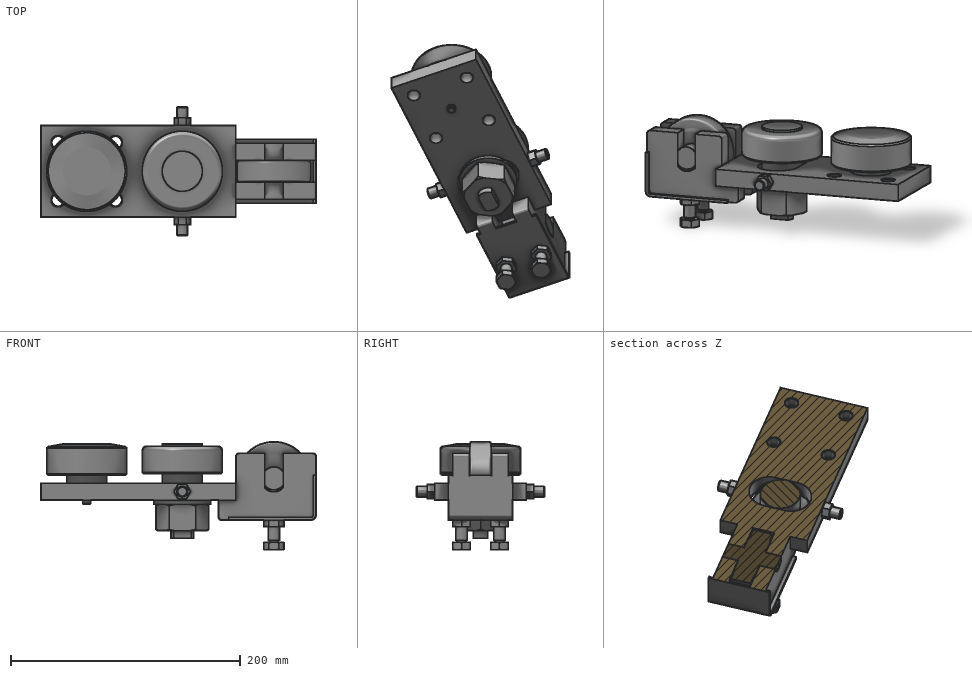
import cadquery as cq
import math


PLATE_LENGTH = 170.0
PLATE_WIDTH = 80.0
PLATE_THICKNESS = 15.0
MOUNT_HOLE_DIAMETER = 11.0
MOUNT_HOLE_CHAMFER = 0.6
MOUNT_HOLE_SPACING = 50.0

FIXED_ROLLER_X = 40.0
ROLLER_RADIUS = 35.0
HUB_RADIUS = 17.5
ROLLER_CHAMFER = 1.5
ROLLER_TOP_Z = 49.0
FIXED_ROLLER_BOTTOM_Z = 21.7
FIXED_ROLLER_SHOULDER_Z = 46.8
FIXED_ROLLER_FLAT_RADIUS = 21.0
TAIL_RADIUS = 3.6
TAIL_LENGTH = 3.6
TAIL_CHAMFER = 1.0

ADJUSTABLE_ROLLER_X = 123.3
ADJUSTABLE_ROLLER_BOTTOM_Z = 23.0
ADJUSTABLE_ROLLER_FACE_Z = 47.2
ADJUSTABLE_ROLLER_ROUND = 4.4
SLIDE_SLOT_LENGTH = 55.0
WASHER_RADIUS = 25.0
WASHER_THICKNESS = 3.6
BIG_NUT_FLATS = 40.0
BIG_NUT_HEIGHT = 23.0
BIG_NUT_CHAMFER_HEIGHT = 1.2
STUD_RADIUS = 10.0
STUD_FLATS = 13.0
STUD_END_LENGTH = 6.6

SIDE_SCREW_RADIUS = 4.7
SIDE_SCREW_CHAMFER = 0.7
SIDE_SCREW_END_Y = 56.0
SIDE_NUT_FLATS = 12.5
SIDE_NUT_HEIGHT = 6.5

FORK_END_X = 240.0
FORK_HEEL_X = 154.7
FORK_TOP_Z = 41.0
FORK_BOTTOM_Z = -17.4
CHEEK_INNER_Y = 9.6
CHEEK_OUTER_Y = 24.4
CHEEK_ROUND = 3.2
STRIP_WIDTH = 56.0
STRIP_THICKNESS = 2.4
STRIP_BEND_RADIUS = 5.0
STRIP_START_X = 164.0
STRIP_TOP_Z = 21.7

CROSS_ROLLER_X = 203.1
CROSS_ROLLER_Z = 19.0
CROSS_ROLLER_RADIUS = 32.0
CROSS_ROLLER_WIDTH = 18.4
CROSS_ROLLER_ROUND = 1.8
CROSS_HUB_BASE_RADIUS = 23.6
CROSS_HUB_FACE_RADIUS = 20.6
AXLE_RADIUS = 10.0
AXLE_FLATS = 16.0
AXLE_SLOT_BOTTOM_Z = 7.2

BOLT_Y = 16.5
BOLT_RADIUS = 5.1
BOLT_NECK_RADIUS = 4.0
BOLT_NECK_LENGTH = 1.5
BOLT_END_Z = -43.2
BOLT_HEAD_HEIGHT = 6.6
BOLT_HEAD_CHAMFER_HEIGHT = 0.5
BOLT_HEX_FLATS = 15.5
BOLT_NUT_HEIGHT = 5.6


def hexagon(flats, height):
    """Hexagonal prism with two corners on the X axis, standing on the XY plane."""
    corner_diameter = flats * 2 / math.sqrt(3)
    return cq.Workplane("XY").polygon(6, corner_diameter).extrude(height)


def chamfered_hexagon(flats, height, chamfer_height):
    """Hexagonal prism whose corners are turned off at both ends by a 30 degree cone."""
    corner_radius = flats / math.sqrt(3)
    end_radius = corner_radius - chamfer_height * math.sqrt(3)
    envelope = (
        cq.Workplane("XZ")
        .moveTo(0, 0)
        .lineTo(end_radius, 0)
        .lineTo(corner_radius, chamfer_height)
        .lineTo(corner_radius, height - chamfer_height)
        .lineTo(end_radius, height)
        .lineTo(0, height)
        .close()
        .revolve(360, (0, 0), (0, 1))
    )
    return hexagon(flats, height).intersect(envelope)


def cylinder(radius, z_start, z_end):
    return cq.Workplane("XY").workplane(offset=z_start).circle(radius).extrude(z_end - z_start)


def slide_slot():
    """Slot across the plate in which the stem of the adjustable roller slides."""
    return (
        cq.Workplane("XY")
        .center(ADJUSTABLE_ROLLER_X, 0)
        .slot2D(SLIDE_SLOT_LENGTH, 2 * HUB_RADIUS, 90)
        .extrude(PLATE_THICKNESS)
    )


def plate():
    body = cq.Workplane("XY").box(
        PLATE_LENGTH, PLATE_WIDTH, PLATE_THICKNESS, centered=(False, True, False)
    )
    body = (
        body.faces(">Z")
        .workplane(origin=(FIXED_ROLLER_X, 0, PLATE_THICKNESS))
        .rect(MOUNT_HOLE_SPACING, MOUNT_HOLE_SPACING, forConstruction=True)
        .vertices()
        .cskHole(MOUNT_HOLE_DIAMETER, MOUNT_HOLE_DIAMETER + 2 * MOUNT_HOLE_CHAMFER, 90)
    )
    return body.cut(slide_slot())


def fixed_roller():
    """Roller with a slightly conical top, its hub, and the pin tail below the plate."""
    rim_radius = ROLLER_RADIUS - ROLLER_CHAMFER
    roller = (
        cq.Workplane("XZ")
        .moveTo(0, FIXED_ROLLER_BOTTOM_Z)
        .lineTo(rim_radius, FIXED_ROLLER_BOTTOM_Z)
        .lineTo(ROLLER_RADIUS, FIXED_ROLLER_BOTTOM_Z + ROLLER_CHAMFER)
        .lineTo(ROLLER_RADIUS, FIXED_ROLLER_SHOULDER_Z - ROLLER_CHAMFER)
        .lineTo(rim_radius, FIXED_ROLLER_SHOULDER_Z)
        .lineTo(FIXED_ROLLER_FLAT_RADIUS, ROLLER_TOP_Z)
        .lineTo(0, ROLLER_TOP_Z)
        .close()
        .revolve(360, (0, 0), (0, 1))
    )
    hub = cylinder(HUB_RADIUS, PLATE_THICKNESS, FIXED_ROLLER_BOTTOM_Z)
    tail = cylinder(TAIL_RADIUS, -TAIL_LENGTH, 0).faces("<Z").chamfer(TAIL_CHAMFER)
    return roller.union(hub).union(tail).translate((FIXED_ROLLER_X, 0, 0))


def side_screw(side):
    """Adjusting screw with its lock nut on one long edge of the plate; side is +1 or -1."""
    edge_y = PLATE_WIDTH / 2
    screw = cylinder(SIDE_SCREW_RADIUS, 0, SIDE_SCREW_END_Y - edge_y)
    screw = screw.faces(">Z").chamfer(SIDE_SCREW_CHAMFER)
    screw = screw.union(hexagon(SIDE_NUT_FLATS, SIDE_NUT_HEIGHT))
    screw = screw.rotate((0, 0, 0), (1, 0, 0), -90 * side)
    return screw.translate((ADJUSTABLE_ROLLER_X, side * edge_y, PLATE_THICKNESS / 2))


def cheek(side):
    """One fork cheek, stepped under the plate end; its slot has a bottom rounded like the axle."""
    thickness = CHEEK_OUTER_Y - CHEEK_INNER_Y
    middle_y = side * (CHEEK_INNER_Y + CHEEK_OUTER_Y) / 2
    outline = (
        cq.Workplane("XZ", origin=(0, middle_y, 0))
        .moveTo(FORK_HEEL_X, FORK_BOTTOM_Z)
        .lineTo(FORK_END_X, FORK_BOTTOM_Z)
        .lineTo(FORK_END_X, FORK_TOP_Z)
        .lineTo(PLATE_LENGTH, FORK_TOP_Z)
        .lineTo(PLATE_LENGTH, 0)
        .lineTo(FORK_HEEL_X, 0)
        .close()
        .extrude(thickness / 2, both=True)
    )
    outline = outline.edges("|Y").edges(">Z").fillet(CHEEK_ROUND)
    outline = outline.edges("|Y").edges("<Z").edges("<X").fillet(CHEEK_ROUND)
    outline = outline.edges("|Y").edges("<Z").edges(">X").fillet(STRIP_BEND_RADIUS)
    half_slot = AXLE_FLATS / 2
    side_end_z = AXLE_SLOT_BOTTOM_Z + AXLE_RADIUS - math.sqrt(AXLE_RADIUS**2 - half_slot**2)
    slot = (
        cq.Workplane("XZ", origin=(CROSS_ROLLER_X, middle_y, 0))
        .moveTo(-half_slot, FORK_TOP_Z)
        .lineTo(-half_slot, side_end_z)
        .threePointArc((0, AXLE_SLOT_BOTTOM_Z), (half_slot, side_end_z))
        .lineTo(half_slot, FORK_TOP_Z)
        .close()
        .extrude(thickness / 2, both=True)
    )
    return outline.cut(slot)


def bent_strip():
    """Angle strip joining the cheeks along their bottom and their far end."""
    strip = (
        cq.Workplane("XZ")
        .moveTo(STRIP_START_X, FORK_BOTTOM_Z)
        .lineTo(FORK_END_X, FORK_BOTTOM_Z)
        .lineTo(FORK_END_X, STRIP_TOP_Z)
        .lineTo(FORK_END_X - STRIP_THICKNESS, STRIP_TOP_Z)
        .lineTo(FORK_END_X - STRIP_THICKNESS, FORK_BOTTOM_Z + STRIP_THICKNESS)
        .lineTo(STRIP_START_X, FORK_BOTTOM_Z + STRIP_THICKNESS)
        .close()
        .extrude(STRIP_WIDTH / 2, both=True)
    )
    strip = strip.edges("|Y").edges("<Z").edges(">X").fillet(STRIP_BEND_RADIUS)
    inner_corner = cq.selectors.NearestToPointSelector(
        (FORK_END_X - STRIP_THICKNESS, 0, FORK_BOTTOM_Z + STRIP_THICKNESS)
    )
    return strip.edges("|Y").edges(inner_corner).fillet(STRIP_BEND_RADIUS - STRIP_THICKNESS)


def support_bolt(side):
    """Bolt with lock nut, screwed up through a cheek until its tip carries the axle."""
    head_top = BOLT_END_Z + BOLT_HEAD_HEIGHT
    neck_top = head_top + BOLT_NECK_LENGTH
    head = chamfered_hexagon(BOLT_HEX_FLATS, BOLT_HEAD_HEIGHT, BOLT_HEAD_CHAMFER_HEIGHT)
    head = head.translate((0, 0, BOLT_END_Z))
    neck = cylinder(BOLT_NECK_RADIUS, head_top, neck_top)
    shank = cylinder(BOLT_RADIUS, neck_top, CROSS_ROLLER_Z - AXLE_RADIUS)
    nut = hexagon(BOLT_HEX_FLATS, BOLT_NUT_HEIGHT).translate((0, 0, FORK_BOTTOM_Z - BOLT_NUT_HEIGHT))
    bolt = head.union(neck).union(shank).union(nut)
    return bolt.translate((CROSS_ROLLER_X, side * BOLT_Y, 0))


def build_carrier():
    body = plate().union(fixed_roller()).union(bent_strip())
    for side in (-1, 1):
        body = body.union(cheek(side)).union(support_bolt(side)).union(side_screw(side))
    return body


def build_adjustable_roller():
    """Roller on a thick stem, clamped to the plate by a washer and a large nut."""
    roller = cylinder(ROLLER_RADIUS, ADJUSTABLE_ROLLER_BOTTOM_Z, ADJUSTABLE_ROLLER_FACE_Z)
    roller = roller.faces(">Z").edges().fillet(ADJUSTABLE_ROLLER_ROUND)
    roller = roller.faces("<Z").edges().chamfer(ROLLER_CHAMFER)
    stem = cylinder(HUB_RADIUS, 0, ROLLER_TOP_Z)
    washer = cylinder(WASHER_RADIUS, -WASHER_THICKNESS, 0)
    nut_bottom = -WASHER_THICKNESS - BIG_NUT_HEIGHT
    nut = chamfered_hexagon(BIG_NUT_FLATS, BIG_NUT_HEIGHT, BIG_NUT_CHAMFER_HEIGHT)
    nut = nut.translate((0, 0, nut_bottom))
    stud_end = cylinder(STUD_RADIUS, nut_bottom - STUD_END_LENGTH, nut_bottom)
    flats = cq.Workplane("XY").box(2 * STUD_RADIUS, STUD_FLATS, 2 * STUD_END_LENGTH)
    stud_end = stud_end.intersect(flats.translate((0, 0, nut_bottom)))
    body = roller.union(stem).union(washer).union(nut).union(stud_end)
    return body.translate((ADJUSTABLE_ROLLER_X, 0, 0))


def build_cross_roller():
    """Roller with raised hub faces; its axle ends are flattened to fit the fork slots."""
    half_width = CROSS_ROLLER_WIDTH / 2
    rim = cylinder(CROSS_ROLLER_RADIUS, -half_width, half_width)
    rim = rim.edges().fillet(CROSS_ROLLER_ROUND)
    hub = (
        cq.Workplane("XZ")
        .moveTo(0, -CHEEK_INNER_Y)
        .lineTo(CROSS_HUB_FACE_RADIUS, -CHEEK_INNER_Y)
        .lineTo(CROSS_HUB_BASE_RADIUS, -half_width)
        .lineTo(CROSS_HUB_BASE_RADIUS, half_width)
        .lineTo(CROSS_HUB_FACE_RADIUS, CHEEK_INNER_Y)
        .lineTo(0, CHEEK_INNER_Y)
        .close()
        .revolve(360, (0, 0), (0, 1))
    )
    axle = cylinder(AXLE_RADIUS, -CHEEK_OUTER_Y, CHEEK_OUTER_Y)
    axle = axle.intersect(cq.Workplane("XY").box(AXLE_FLATS, 2 * AXLE_RADIUS, 2 * CHEEK_OUTER_Y))
    body = rim.union(hub).union(axle)
    body = body.rotate((0, 0, 0), (1, 0, 0), 90)
    return body.translate((CROSS_ROLLER_X, 0, CROSS_ROLLER_Z))


carrier = build_carrier()
adjustable_roller = build_adjustable_roller()
cross_roller = build_cross_roller()

result = cq.Compound.makeCompound([carrier.val(), adjustable_roller.val(), cross_roller.val()])